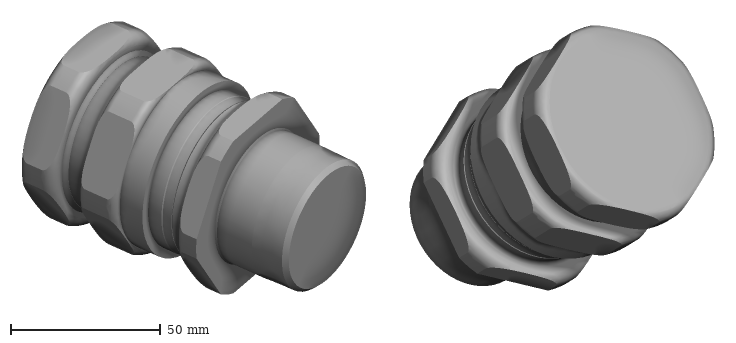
import cadquery as cq
import math


ACROSS_FLATS = 65.0
ACROSS_CORNERS = ACROSS_FLATS / math.cos(math.radians(30))
CORNER_RADIUS = 70.8 / 2

BACK_NUT_HEX_END = 14.1
BACK_NUT_END = 15.6
COUPLING_START = 24.6
COUPLING_HEX_END = 39.9
COUPLING_END = 49.3
COVER_RING_END = 55.1
ENTRY_START = 58.7
ENTRY_HEX_START = 64.8
ENTRY_HEX_END = 73.9
THREAD_TAPER_START = 88.8
GLAND_LENGTH = 102.7

BACK_NUT_FRONT_ROUND = 3.9
BACK_NUT_REAR_ROUND = 4.2
COUPLING_ROUND = 3.1
ENTRY_ROUND = 4.1

BACK_NUT_LIP_RADIUS = 55.5 / 2
BACK_NUT_CHAMFER = BACK_NUT_END - BACK_NUT_HEX_END
SLEEVE_RADIUS = 55.2 / 2
FLANGE_RADIUS = 64.0 / 2
COVER_RING_RADIUS = 57.4 / 2
EDGE_CHAMFER = 0.4
SEAL_RING_RADIUS = 57.0 / 2
SPIGOT_RADIUS = 52.6 / 2
NECK_START_RADIUS = 57.2 / 2
NECK_END_RADIUS = 55.9 / 2
NECK_COVE = 1.5
THREAD_RADIUS = 48.3 / 2
THREAD_FLARE = 0.5
THREAD_END_RADIUS = 47.6 / 2
THREAD_CHAMFER = 1.6


def cylinder(start, end, radius):
    """Solid cylinder on the X axis from start to end."""
    return cq.Workplane("YZ").workplane(offset=start).circle(radius).extrude(end - start)


def ring(start, end, outer_radius, inner_radius):
    """Plain ring on the X axis."""
    return cylinder(start, end, outer_radius).cut(cylinder(start, end, inner_radius))


def revolve_about_x(profile):
    """Close an outline drawn as (x, radius) and revolve it about the X axis."""
    return profile.close().revolve(360, (0, 0, 0), (1, 0, 0))


def rounded_hexagon(start, end, front_round, rear_round=0):
    """Hexagon whose corners are cut by a cylinder with rounded ends."""
    hexagon = cq.Workplane("YZ").workplane(offset=start).polygon(6, ACROSS_CORNERS).extrude(end - start)
    envelope = cylinder(start, end, CORNER_RADIUS).faces("<X").edges().fillet(front_round)
    if rear_round:
        envelope = envelope.faces(">X").edges().fillet(rear_round)
    return hexagon.intersect(envelope)


def make_back_nut():
    """Closed hexagon nut with a lip at its rear that is chamfered over its whole length."""
    hexagon = rounded_hexagon(0, BACK_NUT_HEX_END, BACK_NUT_FRONT_ROUND, BACK_NUT_REAR_ROUND)
    lip = revolve_about_x(
        cq.Workplane("XY")
        .moveTo(BACK_NUT_HEX_END, 0)
        .lineTo(BACK_NUT_HEX_END, BACK_NUT_LIP_RADIUS + BACK_NUT_CHAMFER)
        .lineTo(BACK_NUT_END, BACK_NUT_LIP_RADIUS)
        .lineTo(BACK_NUT_END, 0)
    )
    return hexagon.union(lip)


def make_sleeve():
    """Plain round sleeve between the back nut and the coupling nut."""
    return cylinder(BACK_NUT_END, COUPLING_START, SLEEVE_RADIUS)


def make_coupling_nut():
    """Hexagon with a round flange behind it."""
    hexagon = rounded_hexagon(COUPLING_START, COUPLING_HEX_END, COUPLING_ROUND, COUPLING_ROUND)
    flange = cylinder(COUPLING_HEX_END, COUPLING_END, FLANGE_RADIUS)
    return hexagon.union(flange)


def make_cover_ring():
    """Ring behind the coupling nut, chamfered at the edge next to the seal ring."""
    plain = ring(COUPLING_END, COVER_RING_END, COVER_RING_RADIUS, SPIGOT_RADIUS)
    outer_edge = cq.selectors.RadiusNthSelector(-1)
    return plain.faces(">X").edges(outer_edge).chamfer(EDGE_CHAMFER)


def make_seal_ring():
    """Plain ring held between the cover ring and the neck of the entry body."""
    return ring(COVER_RING_END, ENTRY_START, SEAL_RING_RADIUS, SPIGOT_RADIUS)


def make_entry():
    """Entry body: spigot that carries the rings, tapered neck, hexagon and thread."""
    spigot = cylinder(COUPLING_END, ENTRY_START, SPIGOT_RADIUS)
    cove_start = ENTRY_HEX_START - NECK_COVE
    cove_sag = NECK_COVE * math.sqrt(0.5)
    neck = revolve_about_x(
        cq.Workplane("XY")
        .moveTo(ENTRY_START, 0)
        .lineTo(ENTRY_START, NECK_START_RADIUS - EDGE_CHAMFER)
        .lineTo(ENTRY_START + EDGE_CHAMFER, NECK_START_RADIUS)
        .lineTo(cove_start, NECK_END_RADIUS)
        .threePointArc(
            (cove_start + cove_sag, NECK_END_RADIUS + NECK_COVE - cove_sag),
            (ENTRY_HEX_START, NECK_END_RADIUS + NECK_COVE),
        )
        .lineTo(ENTRY_HEX_START, 0)
    )
    hexagon = rounded_hexagon(ENTRY_HEX_START, ENTRY_HEX_END, ENTRY_ROUND)
    thread = revolve_about_x(
        cq.Workplane("XY")
        .moveTo(ENTRY_HEX_END, 0)
        .lineTo(ENTRY_HEX_END, THREAD_RADIUS + THREAD_FLARE)
        .lineTo(ENTRY_HEX_END + THREAD_FLARE, THREAD_RADIUS)
        .lineTo(THREAD_TAPER_START, THREAD_RADIUS)
        .lineTo(GLAND_LENGTH - THREAD_CHAMFER, THREAD_END_RADIUS)
        .lineTo(GLAND_LENGTH, THREAD_END_RADIUS - THREAD_CHAMFER)
        .lineTo(GLAND_LENGTH, 0)
    )
    return spigot.union(neck).union(hexagon).union(thread)


back_nut = make_back_nut()
sleeve = make_sleeve()
coupling_nut = make_coupling_nut()
cover_ring = make_cover_ring()
seal_ring = make_seal_ring()
entry = make_entry()

result = cq.Compound.makeCompound([
    back_nut.val(),
    sleeve.val(),
    coupling_nut.val(),
    cover_ring.val(),
    seal_ring.val(),
    entry.val(),
])